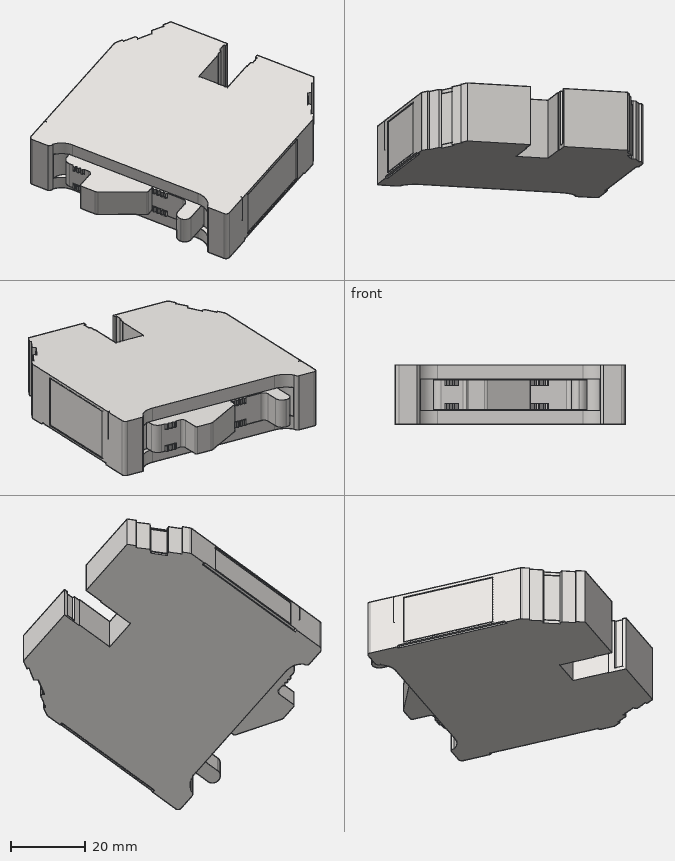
import cadquery as cq
import math


width = 62.0
length = 66.5
thickness = 16.0
back_y = 60.65
half_width = width / 2

foot_inner_x = 25.1
foot_corner_radius = 1.05
foot_inner_radius = 1.1
arch_half_width = 24.3
arch_flat_half_width = 19.6
arch_y = 3.6
arch_radius = 5.65

pad_start = (26.55, 50.0)
pad_end = (24.3, 54.0)
flank = [
    (half_width, 45.35),
    (30.85, 45.75),
    (29.85, 47.6),
    (29.3, 47.35),
    (27.5, 50.5),
    (26.8, 50.5),
    pad_start,
    pad_end,
    (25.0, 54.9),
    (23.1, 58.1),
    (23.55, 58.45),
    (22.35, back_y),
]

slot_width = 8.9
slot_mouth_width = 9.3
slot_floor_y = 45.15
slot_mouth_y = 55.5
notch_depth = 0.5
notch_y = (57.2, 59.65)
notch_taper = 0.25
notch_floor_z = 1.1

pad_height = 0.2
pad_z = (0.9, 14.95)

label_depth = 0.3
label_y = (10.9, 37.1)
label_z = (1.1, 15.1)

relief_depth = 0.65
relief_height = 0.5
relief_y = (9.0, 41.1)

slit_y = 7.9
slit_size = 0.6
slit_rise = 0.4
slit_gap = 0.05

pocket_z = (3.8, 12.25)
pocket_half_width = 24.2
pocket_mouth_y = 1.1
pocket_flat_half_width = 19.95
pocket_floor_y = 5.0

slide_clearance = 0.2
slide_z = (pocket_z[0] + slide_clearance, pocket_z[1] - slide_clearance)
slide_end_x = 20.7
slide_embed = 0.65
slide_root_y = pocket_floor_y + slide_embed
step_y = 0.45
hook_tip_y = back_y - length
hook_left_x = -11.7
hook_right_x = -6.5
ramp_top = (5.45, 1.25)
web_y = 3.4
finger_left_x = 16.5
finger_tip_y = -3.8
end_corner = 2.0
hook_root_fillet = 1.0
finger_root_fillet = 1.3
hook_tip_fillet = 0.45
hook_ramp_fillet = 1.65
ramp_top_fillet = 0.5

tooth_pitch = 1.8
tooth_height = 0.45
tooth_slope = 0.5
tooth_width = 1.2
tooth_gap_height = 0.1
tooth_length = 1.6
step_teeth_x = -17.55
step_teeth_count = 3
web_teeth_x = 10.3
web_teeth_count = 4


def mirrored(points):
    """The points reflected in the YZ plane, in reverse order."""
    return [(-x, y) for x, y in reversed(points)]


def both_sides(solid):
    """The solid together with its mirror image on the other side."""
    return solid.union(solid.mirror("YZ"))


def prism(points, z_range):
    """A closed polygon extruded between two heights."""
    bottom, top = z_range
    return cq.Workplane("XY").workplane(offset=bottom).polyline(points).close().extrude(top - bottom)


def block(x_range, y_range, z_range):
    """A box given by its limits along the three axes."""
    (x0, x1), (y0, y1), (z0, z1) = x_range, y_range, z_range
    return cq.Workplane("XY").box(x1 - x0, y1 - y0, z1 - z0, centered=False).translate((x0, y0, z0))


def make_housing():
    arch_drop = math.sqrt(arch_radius**2 - (arch_half_width - arch_flat_half_width) ** 2)
    arch_start_y = arch_y - arch_radius + arch_drop
    outline = (
        cq.Workplane("XY")
        .moveTo(-arch_half_width, arch_start_y)
        .radiusArc((-arch_flat_half_width, arch_y), arch_radius)
        .lineTo(arch_flat_half_width, arch_y)
        .radiusArc((arch_half_width, arch_start_y), arch_radius)
        .radiusArc((foot_inner_x, 0), -foot_inner_radius)
        .lineTo(half_width - foot_corner_radius, 0)
        .radiusArc((half_width, foot_corner_radius), -foot_corner_radius)
    )
    for point in flank + mirrored(flank):
        outline = outline.lineTo(*point)
    return (
        outline.lineTo(-half_width, foot_corner_radius)
        .radiusArc((foot_corner_radius - half_width, 0), -foot_corner_radius)
        .lineTo(-foot_inner_x, 0)
        .radiusArc((-arch_half_width, arch_start_y), -foot_inner_radius)
        .close()
        .extrude(thickness)
    )


def make_slot():
    slot = block((-slot_width / 2, slot_width / 2), (slot_floor_y, back_y), (0, thickness))
    mouth_x = slot_mouth_width / 2
    mouth = block((-mouth_x, mouth_x), (slot_mouth_y, back_y), (0, thickness))
    notch_x = mouth_x + notch_depth
    notch = prism(
        [(0, notch_y[0]), (mouth_x, notch_y[0]), (notch_x, notch_y[0] + notch_taper),
         (notch_x, notch_y[1]), (0, notch_y[1])],
        (notch_floor_z, thickness),
    )
    return slot.union(mouth).union(both_sides(notch))


def make_flank_pads():
    (x0, y0), (x1, y1) = pad_start, pad_end
    face_length = math.hypot(x1 - x0, y1 - y0)
    out_x = pad_height * (y1 - y0) / face_length
    out_y = pad_height * (x0 - x1) / face_length
    pad = prism([pad_start, (x0 + out_x, y0 + out_y), (x1 + out_x, y1 + out_y), pad_end], pad_z)
    return both_sides(pad)


def make_labels():
    return both_sides(block((half_width - label_depth, half_width), label_y, label_z))


def make_bottom_reliefs():
    """Shallow reliefs along the lower side edges, with 45 degree ends."""
    front, back = relief_y
    relief = (
        cq.Workplane("YZ")
        .workplane(offset=half_width - relief_depth)
        .polyline([(front, 0), (front + relief_height, relief_height),
                   (back - relief_height, relief_height), (back, 0)])
        .close()
        .extrude(relief_depth)
    )
    return both_sides(relief)


def make_slits():
    """Fine slanted slits in the upper half of the side walls."""
    tip = (half_width - slit_size, slit_y + slit_rise)
    slit = prism([(half_width, slit_y), (half_width, slit_y + slit_gap), tip], (thickness / 2, thickness))
    return both_sides(slit)


def make_pocket():
    radius = pocket_half_width - pocket_flat_half_width
    bottom, top = pocket_z
    return (
        cq.Workplane("XY")
        .workplane(offset=bottom)
        .moveTo(-pocket_half_width, 0)
        .lineTo(-pocket_half_width, pocket_mouth_y)
        .radiusArc((-pocket_flat_half_width, pocket_floor_y), radius)
        .lineTo(pocket_flat_half_width, pocket_floor_y)
        .radiusArc((pocket_half_width, pocket_mouth_y), radius)
        .lineTo(pocket_half_width, 0)
        .close()
        .extrude(top - bottom)
    )


def make_slide():
    outline = [
        (-slide_end_x, slide_root_y),
        (-slide_end_x, step_y),
        (hook_left_x, step_y),
        (hook_left_x, hook_tip_y),
        (hook_right_x, hook_tip_y),
        ramp_top,
        (ramp_top[0], web_y),
        (finger_left_x, web_y),
        (finger_left_x, finger_tip_y),
        (slide_end_x, finger_tip_y),
        (slide_end_x, slide_root_y),
    ]
    corner_fillets = [
        ((-slide_end_x, step_y), end_corner),
        ((hook_left_x, step_y), hook_root_fillet),
        ((hook_left_x, hook_tip_y), hook_tip_fillet),
        ((hook_right_x, hook_tip_y), hook_ramp_fillet),
        (ramp_top, ramp_top_fillet),
        ((finger_left_x, web_y), finger_root_fillet),
        ((finger_left_x, finger_tip_y), end_corner),
        ((slide_end_x, finger_tip_y), end_corner),
    ]
    slide = prism(outline, slide_z)
    middle_z = sum(slide_z) / 2
    for (x, y), radius in corner_fillets:
        corner = cq.selectors.NearestToPointSelector((x, y, middle_z))
        slide = slide.edges("|Z").edges(corner).fillet(radius)
    return slide


def make_teeth(start_x, base_y, count, direction):
    """Two rows of ridges, one along each face of the slide, on a thin raised base."""
    bottom, top = slide_z
    tip_y = base_y - tooth_height
    teeth = cq.Workplane("XY")
    for i in range(count):
        x = start_x + direction * i * tooth_pitch
        profile = [
            (x, base_y),
            (x + direction * tooth_slope, tip_y),
            (x + direction * tooth_width, tip_y),
            (x + direction * tooth_width, base_y - tooth_gap_height),
            (x + direction * tooth_pitch, base_y - tooth_gap_height),
            (x + direction * tooth_pitch, base_y),
        ]
        for z_range in ((bottom, bottom + tooth_length), (top - tooth_length, top)):
            teeth = teeth.add(prism(profile, z_range))
    return teeth.combine()


housing = make_housing().cut(make_slot()).union(make_flank_pads())
for recess in (make_labels(), make_bottom_reliefs(), make_slits(), make_pocket()):
    housing = housing.cut(recess)

slide = (
    make_slide()
    .union(make_teeth(step_teeth_x, step_y, step_teeth_count, 0.65))
    .union(make_teeth(web_teeth_x, web_y, web_teeth_count, -0.65))
)

result = housing.union(slide)